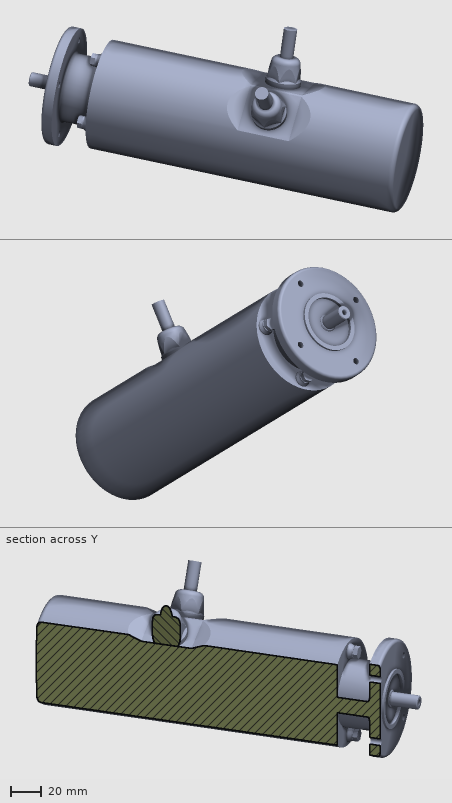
import cadquery as cq
import math

SHAFT_TIP_X = 0.0
PILOT_X = 17.5
FLANGE_FRONT_X = 19.0
FLANGE_BACK_X = 26.5
BODY_FRONT_X = 49.0
BODY_END_X = 259.7
REAR_TIP_X = 261.0

SHAFT_DIAMETER = 9.5
SHAFT_CHAMFER = 0.5
CENTRE_HOLE_DIAMETER = 3.5
CENTRE_HOLE_DEPTH = 4.0
DRILL_POINT_ANGLE = 118.0
CENTRE_COUNTERSINK_DIAMETER = 4.5
COLLAR_DIAMETER = 12.0
COLLAR_FACE_DIAMETER = 10.7
COLLAR_HEIGHT = 0.8
PILOT_DIAMETER = 40.0
PILOT_RECESS_DIAMETER = 34.0
PILOT_RECESS_DEPTH = 2.3
FLANGE_DIAMETER = 79.0
FLANGE_FACE_DIAMETER = 75.0
NECK_DIAMETER = 46.0
NECK_FILLET = 1.3
BODY_DIAMETER = 73.0
BODY_END_FILLET = 3.5

HEX_SIDES = 6
FLANGE_HOLE_DIAMETER = 4.5
FLANGE_HOLE_SPACING = 44.5
SCREW_CIRCLE_RADIUS = 29.5
SCREW_COUNT = 4
SCREW_HEAD_FLATS = 7.5
SCREW_HEAD_X = 42.0
SCREW_WASHER_DIAMETER = 10.7
SCREW_WASHER_THICKNESS = 0.8
SCREW_COLLAR_DIAMETER = 8.5
SCREW_COLLAR_HEIGHT = 1.0
SCREW_SKIRT_HEIGHT = 2.0

GLAND_X = 168.9
GLAND_TILT = 27.0
GLAND_ANGLES = (-GLAND_TILT, GLAND_TILT)
SEAT_RADIUS = 33.0
SEAT_LENGTH = 35.2
SEAT_END_ANGLE = 19.0
SEAT_CUT_CLEARANCE = 2.5
BASE_DIAMETER = 23.5
BASE_HEIGHT = 3.5
BASE_BEVEL_HEIGHT = 1.5
NUT_TOP_DIAMETER = 18.3
NUT_FLATS = 20.0
NUT_HEIGHT = 15.1
NUT_FILLET = 4.0
CABLE_DIAMETER = 9.0
CABLE_END_RADIUS = 71.0


def x_cylinder(diameter, start_x, end_x):
    """Cylinder on the X axis from start_x to end_x."""
    plane = cq.Workplane("YZ").workplane(offset=start_x)
    return plane.circle(diameter / 2).extrude(end_x - start_x)


def x_cone(start_diameter, end_diameter, start_x, end_x):
    """Cone frustum on the X axis from start_x to end_x."""
    plane = cq.Workplane("YZ").workplane(offset=start_x).circle(start_diameter / 2)
    return plane.workplane(offset=end_x - start_x).circle(end_diameter / 2).loft()


def make_centre_hole():
    """Countersunk drilled hole with a conical bottom, as the solid to cut from the shaft tip."""
    hole_radius = CENTRE_HOLE_DIAMETER / 2
    mouth_radius = CENTRE_COUNTERSINK_DIAMETER / 2
    point_depth = hole_radius / math.tan(math.radians(DRILL_POINT_ANGLE / 2))
    return (
        cq.Workplane("XY")
        .moveTo(SHAFT_TIP_X, 0)
        .lineTo(SHAFT_TIP_X, mouth_radius)
        .lineTo(SHAFT_TIP_X + mouth_radius - hole_radius, hole_radius)
        .lineTo(SHAFT_TIP_X + CENTRE_HOLE_DEPTH, hole_radius)
        .lineTo(SHAFT_TIP_X + CENTRE_HOLE_DEPTH + point_depth, 0)
        .close()
        .revolve(360, (0, 0, 0), (1, 0, 0))
    )


def make_shaft():
    shaft = x_cylinder(SHAFT_DIAMETER, SHAFT_TIP_X, FLANGE_BACK_X)
    return shaft.faces("<X").chamfer(SHAFT_CHAMFER).cut(make_centre_hole())


def make_flange():
    flange = x_cylinder(FLANGE_DIAMETER, FLANGE_FRONT_X, FLANGE_BACK_X)
    flange = flange.faces("<X").fillet((FLANGE_DIAMETER - FLANGE_FACE_DIAMETER) / 2)
    holes = (
        cq.Workplane("YZ")
        .workplane(offset=FLANGE_FRONT_X)
        .rect(FLANGE_HOLE_SPACING, FLANGE_HOLE_SPACING, forConstruction=True)
        .vertices()
        .circle(FLANGE_HOLE_DIAMETER / 2)
        .extrude(FLANGE_BACK_X - FLANGE_FRONT_X)
    )
    return flange.cut(holes)


def add_pilot(housing):
    """Raised centring ring with a round recess, and a chamfered collar round the shaft in it."""
    floor_x = PILOT_X + PILOT_RECESS_DEPTH
    pilot = x_cylinder(PILOT_DIAMETER, PILOT_X, floor_x)
    recess = x_cylinder(PILOT_RECESS_DIAMETER, PILOT_X, floor_x)
    collar = x_cylinder(COLLAR_DIAMETER, floor_x - COLLAR_HEIGHT, floor_x)
    collar = collar.faces("<X").chamfer((COLLAR_DIAMETER - COLLAR_FACE_DIAMETER) / 2)
    return housing.union(pilot).cut(recess).union(collar)


def make_barrel():
    body = x_cylinder(BODY_DIAMETER, BODY_FRONT_X, BODY_END_X).faces(">X").edges().fillet(BODY_END_FILLET)
    crown = (
        cq.Workplane("XY")
        .moveTo(BODY_END_X, 0)
        .lineTo(REAR_TIP_X, 0)
        .lineTo(BODY_END_X, BODY_DIAMETER / 2 - BODY_END_FILLET)
        .close()
        .revolve(360, (0, 0, 0), (1, 0, 0))
    )
    return body.union(crown)


def make_neck():
    """Neck between flange and barrel, widened by a concave fillet where it meets the flange."""
    radius = NECK_DIAMETER / 2
    return (
        cq.Workplane("XY")
        .moveTo(FLANGE_BACK_X, 0)
        .lineTo(FLANGE_BACK_X, radius + NECK_FILLET)
        .radiusArc((FLANGE_BACK_X + NECK_FILLET, radius), -NECK_FILLET)
        .lineTo(BODY_FRONT_X, radius)
        .lineTo(BODY_FRONT_X, 0)
        .close()
        .revolve(360, (0, 0, 0), (1, 0, 0))
    )


def make_screw():
    """Hexagon screw on the X axis with a collar, a conical skirt and a washer under its head."""
    washer_x = BODY_FRONT_X - SCREW_WASHER_THICKNESS
    skirt_x = washer_x - SCREW_SKIRT_HEIGHT
    collar_x = skirt_x - SCREW_COLLAR_HEIGHT
    washer = x_cylinder(SCREW_WASHER_DIAMETER, washer_x, BODY_FRONT_X)
    skirt = x_cone(SCREW_COLLAR_DIAMETER, SCREW_WASHER_DIAMETER, skirt_x, washer_x)
    collar = x_cylinder(SCREW_COLLAR_DIAMETER, collar_x, skirt_x)
    head = (
        cq.Workplane("YZ")
        .workplane(offset=SCREW_HEAD_X)
        .polygon(HEX_SIDES, SCREW_HEAD_FLATS / math.cos(math.pi / HEX_SIDES))
        .extrude(collar_x - SCREW_HEAD_X)
    )
    return washer.union(skirt).union(collar).union(head)


def make_seat_cutter():
    """Trough with sloped ends, cutting the gland seat at the top of the barrel."""
    depth = BODY_DIAMETER / 2 - SEAT_RADIUS + SEAT_CUT_CLEARANCE
    run = depth / math.tan(math.radians(SEAT_END_ANGLE))
    half = SEAT_LENGTH / 2
    return (
        cq.Workplane("XZ")
        .moveTo(GLAND_X - half, SEAT_RADIUS)
        .lineTo(GLAND_X + half, SEAT_RADIUS)
        .lineTo(GLAND_X + half + run, SEAT_RADIUS + depth)
        .lineTo(GLAND_X - half - run, SEAT_RADIUS + depth)
        .close()
        .extrude(BODY_DIAMETER / 2, both=True)
    )


def tilt(shape, angle):
    """Turn a shape about the X axis."""
    return shape.rotate((0, 0, 0), (1, 0, 0), angle)


def make_housing():
    housing = make_barrel().union(make_neck()).union(make_flange())
    housing = add_pilot(housing).union(make_shaft())
    for i in range(SCREW_COUNT):
        screw = make_screw().translate((0, 0, SCREW_CIRCLE_RADIUS))
        housing = housing.union(tilt(screw, 360 / SCREW_COUNT * i))
    for angle in GLAND_ANGLES:
        housing = housing.cut(tilt(make_seat_cutter(), angle))
    return housing


def make_frustum(bottom_z, bottom_diameter, top_diameter, height):
    """Cone frustum on the untilted gland axis."""
    plane = cq.Workplane("XY", origin=(GLAND_X, 0, bottom_z)).circle(bottom_diameter / 2)
    return plane.workplane(offset=height).circle(top_diameter / 2).loft()


def make_nut(bottom_z):
    """Tapered nut with a rounded top edge and six flats, on the untilted gland axis."""
    nut = make_frustum(bottom_z, BASE_DIAMETER, NUT_TOP_DIAMETER, NUT_HEIGHT)
    nut = nut.faces(">Z").edges().fillet(NUT_FILLET)
    plane = cq.Workplane("XY", origin=(GLAND_X, 0, bottom_z))
    return nut.intersect(plane.polygon(HEX_SIDES, NUT_FLATS, circumscribed=True).extrude(NUT_HEIGHT))


def make_gland(angle):
    """Round base, hexagon nut with a domed top and the cable, tilted about the X axis."""
    base_top = SEAT_RADIUS + BASE_HEIGHT
    seat = cq.Workplane("XY", origin=(GLAND_X, 0, SEAT_RADIUS))
    base = seat.circle(BASE_DIAMETER / 2).extrude(BASE_HEIGHT)
    bevel = make_frustum(base_top, BASE_DIAMETER, NUT_FLATS, BASE_BEVEL_HEIGHT)
    cable = seat.circle(CABLE_DIAMETER / 2).extrude(CABLE_END_RADIUS - SEAT_RADIUS)
    return tilt(base.union(bevel).union(make_nut(base_top)).union(cable), angle)


housing = make_housing()
glands = [make_gland(angle) for angle in GLAND_ANGLES]
result = cq.Compound.makeCompound([housing.val(), *[gland.val() for gland in glands]])